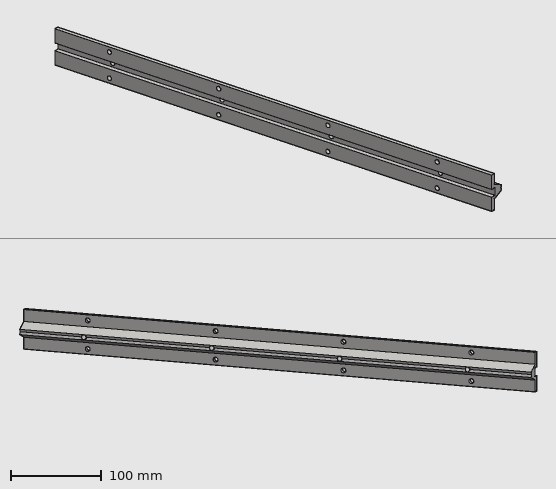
import cadquery as cq

length = 599.5
depth = 18.5
height = 45.0

flange_thickness = 5.5
channel_width = 9.5
channel_depth = 6.0
rib_base_width = 18.0
rib_tip_width = 6.0
tip_groove_depth = 1.0

hole_diameter = 5.5
holes_per_row = 4
hole_pitch = length / holes_per_row
row_spacing = 16.0
row_count = 3


def make_rail():
    """Extrude the flanged section with its tapered rib and front channel."""
    upper_half = [
        (channel_depth, channel_width / 2),
        (0, channel_width / 2),
        (0, height / 2),
        (flange_thickness, height / 2),
        (flange_thickness, rib_base_width / 2),
        (depth, rib_tip_width / 2),
    ]
    lower_half = [(y, -z) for y, z in reversed(upper_half)]
    groove_bottom = (depth - tip_groove_depth, 0)
    section = upper_half + [groove_bottom] + lower_half
    return cq.Workplane("YZ").polyline(section).close().extrude(length)


def make_holes():
    """Cylinders along Y, long enough to pass through flanges and rib."""
    return (
        cq.Workplane("XZ")
        .center(length / 2, 0)
        .rarray(hole_pitch, row_spacing, holes_per_row, row_count)
        .circle(hole_diameter / 2)
        .extrude(-depth)
    )


result = make_rail().cut(make_holes())